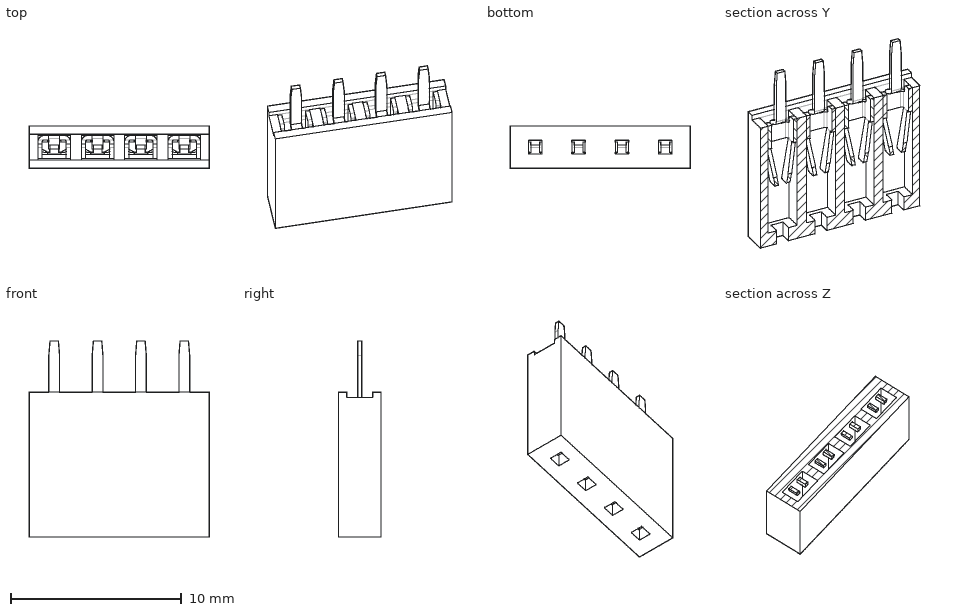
import cadquery as cq
import math

POSITIONS = 4
PITCH = 2.54
HOUSING_LENGTH = 10.56
HOUSING_WIDTH = 2.5
HOUSING_HEIGHT = 8.5
FLOOR_THICKNESS = 0.92
ENTRY_HOLE_SIDE = 0.78

GROOVE_DEPTH = 0.3
GROOVE_TOP_WIDTH = 1.52
GROOVE_FLOOR_WIDTH = 1.5

CAVITY_LENGTH = 1.91
CAVITY_WIDTH = 1.36
LEAD_IN_DEPTH = 0.52
LEAD_IN_HEIGHT = 0.25
FRONT_LEDGE_WIDTH = 0.24

SHEET = 0.25
TOTAL_HEIGHT = 11.5
BODY_HEIGHT = 1.61
BODY_BEND_RADIUS = 0.38
STEP_RADIUS = 0.21
STEP_START = 0.4
STEP_HEIGHT = 0.55
TAIL_WIDTH = 0.64
TAIL_TIP_WIDTH = 0.51
TAIL_TAPER_LENGTH = 0.85
NECK_TOP_DEPTH = 0.02
NECK_BEND_RADIUS = 0.3
NECK_SLOPE = math.radians(26.6)

SPRING_GAP = 0.51
SPRING_LEAN = math.radians(9.7)
SPRING_WIDTH = 0.62
SPRING_ROOT_WIDTH = 0.44
SPRING_FLARE = 0.77

groove_floor = HOUSING_HEIGHT - GROOVE_DEPTH
back_face = CAVITY_WIDTH / 2
body_top = groove_floor
body_bottom = body_top - BODY_HEIGHT
neck_top = groove_floor - NECK_TOP_DEPTH
back_plate_top = body_top - STEP_HEIGHT
inner_half_length = CAVITY_LENGTH / 2 - SHEET
contact_places = [(i - (POSITIONS - 1) / 2) * PITCH for i in range(POSITIONS)]


def block(length, y_min, y_max, z_min, z_max):
    """Box centred on X between the given Y and Z limits."""
    box = cq.Workplane("XY").box(length, y_max - y_min, z_max - z_min, centered=(True, False, False))
    return box.translate((0, y_min, z_min))


def extrude_along_x(sketch, length):
    """Extrude a YZ outline equally to both sides of X = 0."""
    return sketch.extrude(length / 2, both=True)


def make_groove():
    """Trapezoidal groove over the full length of the housing."""
    outline = (
        cq.Workplane("YZ")
        .moveTo(-GROOVE_FLOOR_WIDTH / 2, groove_floor)
        .lineTo(GROOVE_FLOOR_WIDTH / 2, groove_floor)
        .lineTo(GROOVE_TOP_WIDTH / 2, HOUSING_HEIGHT)
        .lineTo(-GROOVE_TOP_WIDTH / 2, HOUSING_HEIGHT)
        .close()
    )
    return extrude_along_x(outline, HOUSING_LENGTH)


def make_cavity():
    """Contact cavity: wide above the front ledge, narrower below it, with a hole in the floor."""
    mouth_half = GROOVE_FLOOR_WIDTH / 2
    lead_in_top = groove_floor - LEAD_IN_DEPTH
    lead_in_bottom = lead_in_top - LEAD_IN_HEIGHT
    outline = (
        cq.Workplane("YZ")
        .polyline(
            [
                (-mouth_half, groove_floor),
                (-mouth_half, lead_in_top),
                (-back_face, lead_in_bottom),
                (-back_face, body_bottom),
                (back_face, body_bottom),
                (back_face, lead_in_bottom),
                (mouth_half, lead_in_top),
                (mouth_half, groove_floor),
            ]
        )
        .close()
    )
    upper = extrude_along_x(outline, CAVITY_LENGTH)
    lower = block(CAVITY_LENGTH, FRONT_LEDGE_WIDTH - back_face, back_face, FLOOR_THICKNESS, body_bottom)
    hole = block(ENTRY_HOLE_SIDE, -ENTRY_HOLE_SIDE / 2, ENTRY_HOLE_SIDE / 2, 0, FLOOR_THICKNESS)
    return upper.union(lower).union(hole)


def make_housing():
    """Block with the groove and all the cavities cut from it."""
    body = block(HOUSING_LENGTH, -HOUSING_WIDTH / 2, HOUSING_WIDTH / 2, 0, HOUSING_HEIGHT).cut(make_groove())
    cavity = make_cavity()
    for place in contact_places:
        body = body.cut(cavity.translate((place, 0, 0)))
    return body


def make_channel():
    """U-shaped section open to the front, with an S-shaped step down to the back plate."""
    outer = block(CAVITY_LENGTH, -back_face, back_face, body_bottom, body_top)
    outer = outer.edges("|Z and >Y").fillet(BODY_BEND_RADIUS)
    inner = block(2 * inner_half_length, -back_face, back_face - SHEET, body_bottom, body_top)
    inner = inner.edges("|Z and >Y").fillet(BODY_BEND_RADIUS - SHEET)

    step_middle = STEP_START - STEP_RADIUS
    reach = STEP_RADIUS * math.sqrt(0.5)
    step_end = step_middle - STEP_RADIUS
    step = (
        cq.Workplane("YZ")
        .moveTo(back_face, back_plate_top)
        .lineTo(STEP_START, back_plate_top)
        .threePointArc(
            (STEP_START - reach, back_plate_top + STEP_RADIUS - reach),
            (step_middle, back_plate_top + STEP_RADIUS),
        )
        .lineTo(step_middle, body_top - STEP_RADIUS)
        .threePointArc((step_end + reach, body_top - STEP_RADIUS + reach), (step_end, body_top))
        .lineTo(back_face, body_top)
        .close()
    )
    return outer.cut(inner).cut(extrude_along_x(step, CAVITY_LENGTH))


def make_tail():
    """Solder tail with a tapered tip and a double-bent neck down to the back plate."""
    half = SHEET / 2
    rise = math.tan(NECK_SLOPE)
    drop = SHEET / math.cos(NECK_SLOPE)
    back_corner = neck_top - (back_face - half) * rise
    front_corner = neck_top - drop + SHEET * rise
    inner_corner = neck_top - drop - (back_face - SHEET - half) * rise
    tail_root = back_plate_top - SHEET
    side = (
        cq.Workplane("YZ")
        .polyline(
            [
                (half, TOTAL_HEIGHT),
                (half, neck_top),
                (back_face, back_corner),
                (back_face, tail_root),
                (back_face - SHEET, tail_root),
                (back_face - SHEET, inner_corner),
                (-half, front_corner),
                (-half, TOTAL_HEIGHT),
            ]
        )
        .close()
    )
    strip = extrude_along_x(side, TAIL_WIDTH)
    for corner in [(0, back_face, back_corner), (0, -half, front_corner)]:
        strip = strip.edges(cq.selectors.NearestToPointSelector(corner)).fillet(NECK_BEND_RADIUS)

    shank_half = TAIL_WIDTH / 2
    tip_half = TAIL_TIP_WIDTH / 2
    taper_start = TOTAL_HEIGHT - TAIL_TAPER_LENGTH
    outline = (
        cq.Workplane("XZ")
        .polyline(
            [
                (-shank_half, body_bottom),
                (shank_half, body_bottom),
                (shank_half, taper_start),
                (tip_half, TOTAL_HEIGHT),
                (-tip_half, TOTAL_HEIGHT),
                (-shank_half, taper_start),
            ]
        )
        .close()
        .extrude(back_face, both=True)
    )
    return strip.intersect(outline)


def make_spring(side):
    """Spring arm under one channel wall; side is -1 or +1 along X."""
    lean = inner_half_length - SPRING_GAP / 2
    length = lean / math.tan(SPRING_LEAN)
    tip = body_bottom - length
    root_x = side * inner_half_length
    tip_x = side * SPRING_GAP / 2
    sheet = (
        cq.Workplane("XZ")
        .polyline(
            [
                (root_x, body_bottom),
                (root_x + side * SHEET, body_bottom),
                (tip_x + side * SHEET, tip),
                (tip_x, tip),
            ]
        )
        .close()
        .extrude(back_face, both=True)
    )

    back = SPRING_WIDTH / 2
    outline = (
        cq.Workplane("YZ")
        .polyline(
            [
                (back, body_bottom),
                (back, tip),
                (back - SPRING_WIDTH, tip),
                (back - SPRING_WIDTH, body_bottom - SPRING_FLARE * length),
                (back - SPRING_ROOT_WIDTH, body_bottom),
            ]
        )
        .close()
    )
    return sheet.intersect(extrude_along_x(outline, CAVITY_LENGTH))


def make_contact(place):
    """One contact as a single solid, moved to its place along X."""
    contact = make_channel().union(make_tail())
    for side in (-1, 1):
        contact = contact.union(make_spring(side))
    return contact.translate((place, 0, 0))


housing = make_housing()
contacts = [make_contact(place) for place in contact_places]

result = cq.Compound.makeCompound([housing.val(), *[contact.val() for contact in contacts]])